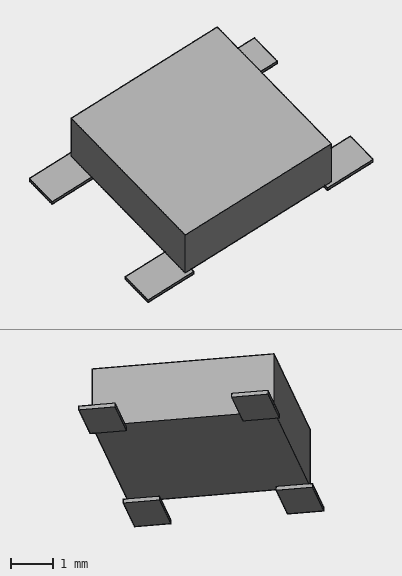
import cadquery as cq

span_x = 4.58
span_y = 6.78
total_height = 1.6

pad_width = 0.88
pad_length = 1.38
pad_thickness = 0.1

housing_side = 4.4
housing_height = total_height - pad_thickness


def make_housing():
    """Plain square block whose underside sits on top of the pads."""
    return (
        cq.Workplane("XY")
        .workplane(offset=pad_thickness)
        .rect(housing_side, housing_side)
        .extrude(housing_height)
    )


def make_pad(side_x, side_y):
    """Flat pad in the corner given by the signs side_x and side_y."""
    center_x = side_x * (span_x - pad_width) / 2
    center_y = side_y * (span_y - pad_length) / 2
    return (
        cq.Workplane("XY")
        .center(center_x, center_y)
        .rect(pad_width, pad_length)
        .extrude(pad_thickness)
    )


housing = make_housing()
pads = [make_pad(side_x, side_y) for side_x in (-1, 1) for side_y in (-1, 1)]

result = cq.Compound.makeCompound([housing.val(), *[pad.val() for pad in pads]])